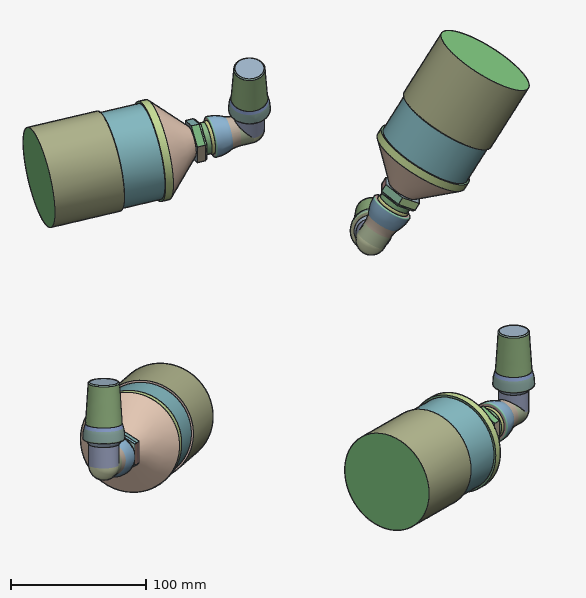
import cadquery as cq
import math

total_length = 179.1

body_radius = 76.1 / 2
waist_radius = 72.9 / 2
body_length = 54.0
waist_end = 86.0
flange_end = 92.0
shoulder_end = 118.4
shoulder_tip_radius = body_radius - (shoulder_end - flange_end)

nut_flats = 28.8
nut_thickness = 7.7
nut_chamfer_length = 1.6
nut_chamfer_inset = 1.0
nut_corners = nut_flats / math.cos(math.pi / 6)

stem_radius = 24.2 / 2
pipe_radius = 22.5 / 2
ball_radius = 25.5 / 2
stem_ball_length = 2.5
nozzle_ball_length = 3.5
rim_radius = 31.2 / 2
rim_rounding = 0.9

stem_end = 130.5
socket_rim = stem_end + stem_ball_length
socket_bulge_end = 13.8
socket_bulge_radius = 12.4
socket_flare_end = 20.6

elbow_y = total_length - rim_radius
pipe_top = 16.1
nozzle_rim = pipe_top + nozzle_ball_length
nozzle_shoulder = 28.5
nozzle_shoulder_radius = 14.5
nozzle_step = 31.2
nozzle_step_radius = 13.8
nozzle_step_depth = 0.2
nozzle_step_height = 0.4
nozzle_top = 63.2
nozzle_tip_radius = 11.6
nozzle_edge_chamfer = 0.9


def arc_middle(start, end, bulge):
    """Point off the middle of a chord; a positive bulge lies to its right."""
    dx = end[0] - start[0]
    dy = end[1] - start[1]
    chord = math.hypot(dx, dy)
    middle_x = (start[0] + end[0]) / 2 + bulge * dy / chord
    middle_y = (start[1] + end[1]) / 2 - bulge * dx / chord
    return (middle_x, middle_y)


def make_bottle():
    return (
        cq.Workplane("XY")
        .lineTo(body_radius, 0)
        .lineTo(body_radius, body_length)
        .lineTo(waist_radius, body_length)
        .lineTo(waist_radius, waist_end)
        .lineTo(body_radius, waist_end)
        .lineTo(body_radius, flange_end)
        .lineTo(shoulder_tip_radius, shoulder_end)
        .lineTo(0, shoulder_end)
        .close()
        .revolve(360, (0, 0), (0, 1))
    )


def make_nut():
    return (
        cq.Workplane("XZ", origin=(0, shoulder_end, 0))
        .transformed(rotate=(0, 0, 30))
        .polygon(6, nut_corners)
        .extrude(-nut_thickness)
        .faces(">Y")
        .chamfer(nut_chamfer_length, nut_chamfer_inset)
    )


def make_stem():
    """Straight stem that widens into the ball held by the elbow socket."""
    bulge = 0.4
    neck = (stem_radius, stem_end)
    ball = (ball_radius, socket_rim)
    return (
        cq.Workplane("XY")
        .moveTo(0, shoulder_end)
        .lineTo(stem_radius, shoulder_end)
        .lineTo(*neck)
        .threePointArc(arc_middle(neck, ball, bulge), ball)
        .lineTo(0, socket_rim)
        .close()
        .revolve(360, (0, 0), (0, 1))
    )


def make_elbow_arm():
    """Horizontal arm: bell-shaped socket that narrows into the pipe."""
    bell_bulge = 0.9
    flare_bulge = 0.2
    bell_start = (rim_radius, socket_rim + rim_rounding)
    bell_end = (socket_bulge_radius, socket_rim + socket_bulge_end)
    flare_end = (pipe_radius, socket_rim + socket_flare_end)
    return (
        cq.Workplane("XY")
        .moveTo(0, socket_rim)
        .lineTo(rim_radius - rim_rounding, socket_rim)
        .tangentArcPoint(bell_start, relative=False)
        .threePointArc(arc_middle(bell_start, bell_end, bell_bulge), bell_end)
        .threePointArc(arc_middle(bell_end, flare_end, -flare_bulge), flare_end)
        .lineTo(pipe_radius, elbow_y)
        .lineTo(0, elbow_y)
        .close()
        .revolve(360, (0, 0), (0, 1))
    )


def make_elbow_corner():
    return cq.Workplane("XY").sphere(pipe_radius).translate((0, elbow_y, 0))


def make_nozzle():
    """Upright pipe, its ball, and the tapered nozzle above it."""
    ball_bulge = 0.4
    bell_bulge = 0.4
    neck = (pipe_radius, pipe_top)
    ball = (ball_radius, nozzle_rim)
    bell_start = (rim_radius, nozzle_rim + rim_rounding)
    bell_end = (nozzle_shoulder_radius, nozzle_shoulder)
    return (
        cq.Workplane("XZ", origin=(0, elbow_y, 0))
        .lineTo(pipe_radius, 0)
        .lineTo(*neck)
        .threePointArc(arc_middle(neck, ball, ball_bulge), ball)
        .lineTo(rim_radius - rim_rounding, nozzle_rim)
        .tangentArcPoint(bell_start, relative=False)
        .threePointArc(arc_middle(bell_start, bell_end, bell_bulge), bell_end)
        .lineTo(nozzle_step_radius, nozzle_step)
        .lineTo(nozzle_step_radius - nozzle_step_depth, nozzle_step + nozzle_step_height)
        .lineTo(nozzle_tip_radius, nozzle_top - nozzle_edge_chamfer)
        .lineTo(nozzle_tip_radius - nozzle_edge_chamfer, nozzle_top)
        .lineTo(0, nozzle_top)
        .close()
        .revolve(360, (0, 0), (0, 1))
    )


result = (
    make_bottle()
    .union(make_nut())
    .union(make_stem())
    .union(make_elbow_arm())
    .union(make_nozzle())
    .union(make_elbow_corner())
)